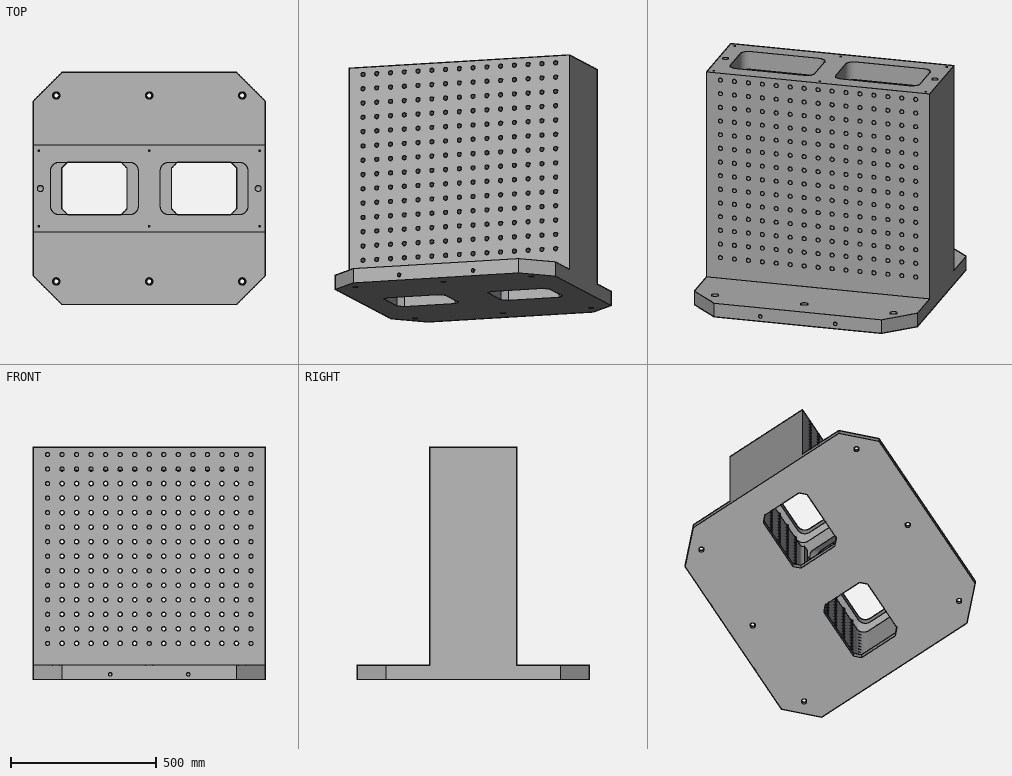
import cadquery as cq
import math

size = 800.0
hole_pitch = size / 16
plate_thickness = hole_pitch
plate_corner_chamfer = 2 * hole_pitch
tower_depth = 300.0
tower_height = size - plate_thickness

top_wall = 60.0
divider_width = 75.0
mouth_length = (size - 2 * top_wall - divider_width) / 2
mouth_width = tower_depth - 2 * top_wall
mouth_depth = 65.0
mouth_centers = [side * (divider_width + mouth_length) / 2 for side in (-1, 1)]

cavity_wall = 40.0
cavity_length = size - 2 * cavity_wall
cavity_width = tower_depth - 2 * cavity_wall
cavity_floor = plate_thickness
ceiling_spread = top_wall - cavity_wall
ceiling_drop = 16.0
cavity_top = size - mouth_depth - ceiling_drop
corner_radius = 30.0

rib_tip_width = 20.0
rib_flank_radius = rib_tip_width / 2

floor_opening_length = 224.0
floor_opening_chamfer = 20.0

drill_angle = 118.0

grid_columns = 15
grid_rows = 14
grid_hole_diameter = 14.0
grid_hole_depth = 40.0
grid_top_offset = hole_pitch / 2

lift_hole_diameter = 21.0
lift_hole_depth = 40.0
lift_hole_inset = hole_pitch / 2
pin_hole_diameter = 5.0
pin_hole_depth = 20.0
pin_hole_inset = 20.0

mount_spacing = 320.0
mount_hole_diameter = 18.0
mount_bore_diameter = 26.0
mount_bore_depth = 16.0

edge_hole_diameter = 12.0
edge_hole_depth = 24.0
edge_hole_spacing = 269.0
edge_hole_height = 18.0


def cylinders(points, z_top, diameter, depth):
    """Upright cylinders hanging down from z_top."""
    return (
        cq.Workplane("XY", origin=(0, 0, z_top))
        .pushPoints(points)
        .circle(diameter / 2)
        .extrude(-depth)
    )


def drilled_hole(diameter, depth):
    """Blind hole with a conical bottom, drilled down from the origin."""
    radius = diameter / 2
    cone_height = radius / math.tan(math.radians(drill_angle / 2))
    return (
        cq.Workplane("XZ")
        .polyline([(0, 0), (radius, 0), (radius, -depth), (0, -depth - cone_height)])
        .close()
        .revolve(360, (0, 0, 0), (0, 1, 0))
        .val()
    )


def drilled_down(points, z_top, diameter, depth):
    """Drilled holes going down from z_top at (x, y) points."""
    hole = drilled_hole(diameter, depth)
    return cq.Compound.makeCompound([hole.moved(cq.Location(cq.Vector(x, y, z_top))) for x, y in points])


def drilled_both_sides(points, face_distance, diameter, depth):
    """Drilled holes at (x, z) points, going inward from y = -face_distance and y = +face_distance."""
    hole = drilled_hole(diameter, depth)
    holes = []
    for side in (-1, 1):
        inward = hole.rotate(cq.Vector(0, 0, 0), cq.Vector(1, 0, 0), side * -90)
        for x, z in points:
            holes.append(inward.moved(cq.Location(cq.Vector(x, side * face_distance, z))))
    return cq.Compound.makeCompound(holes)


def make_body():
    plate = (
        cq.Workplane("XY")
        .rect(size, size)
        .extrude(plate_thickness)
        .edges("|Z")
        .chamfer(plate_corner_chamfer)
    )
    tower = (
        cq.Workplane("XY", origin=(0, 0, plate_thickness))
        .rect(size, tower_depth)
        .extrude(tower_height)
    )
    return plate.union(tower)


def rounded_block(length, width, z_bottom, z_top):
    return (
        cq.Workplane("XY", origin=(0, 0, z_bottom))
        .rect(length, width)
        .extrude(z_top - z_bottom)
        .edges("|Z")
        .fillet(corner_radius)
    )


def make_mouth():
    """One tower opening, flaring out below its straight part to meet the cavity."""
    straight = rounded_block(mouth_length, mouth_width, size - mouth_depth, size)
    narrow = cq.Sketch().rect(mouth_length, mouth_width).vertices().fillet(corner_radius)
    wide = (
        cq.Sketch()
        .rect(mouth_length + 2 * ceiling_spread, mouth_width + 2 * ceiling_spread)
        .vertices()
        .fillet(corner_radius)
    )
    flare = (
        cq.Workplane("XY", origin=(0, 0, cavity_top))
        .placeSketch(wide, narrow.moved(cq.Location(cq.Vector(0, 0, ceiling_drop))))
        .loft()
    )
    return straight.union(flare)


def make_rib():
    """Rib on the +Y cavity wall, blended into the wall by a concave quarter arc on each flank."""
    wall = cavity_width / 2
    tip = rib_tip_width / 2
    root = tip + rib_flank_radius
    top = wall - rib_flank_radius
    return (
        cq.Workplane("XY", origin=(0, 0, cavity_floor))
        .moveTo(-root, wall)
        .radiusArc((-tip, top), rib_flank_radius)
        .lineTo(tip, top)
        .radiusArc((root, wall), rib_flank_radius)
        .close()
        .extrude(cavity_top - cavity_floor)
    )


def make_cavity():
    cavity = rounded_block(cavity_length, cavity_width, cavity_floor, cavity_top)
    rib = make_rib()
    cavity = cavity.cut(rib).cut(rib.mirror("XZ"))
    floor_opening = (
        cq.Workplane("XY")
        .rect(floor_opening_length, mouth_width)
        .extrude(plate_thickness)
        .edges("|Z")
        .chamfer(floor_opening_chamfer)
    )
    mouth = make_mouth()
    for x in mouth_centers:
        cavity = cavity.union(mouth.translate((x, 0, 0)))
        cavity = cavity.union(floor_opening.translate((x, 0, 0)))
    return cavity


def make_grid_holes():
    points = [
        ((column - (grid_columns - 1) / 2) * hole_pitch, size - grid_top_offset - row * hole_pitch)
        for column in range(grid_columns)
        for row in range(grid_rows)
    ]
    return drilled_both_sides(points, tower_depth / 2, grid_hole_diameter, grid_hole_depth)


def make_lift_holes():
    x = size / 2 - lift_hole_inset
    return drilled_down([(-x, 0), (x, 0)], size, lift_hole_diameter, lift_hole_depth)


def make_pin_holes():
    pin_x = size / 2 - pin_hole_inset
    pin_y = tower_depth / 2 - pin_hole_inset
    points = [(x, y) for x in (-pin_x, 0, pin_x) for y in (-pin_y, pin_y)]
    return drilled_down(points, size, pin_hole_diameter, pin_hole_depth)


def make_mount_holes():
    points = [
        (x, y)
        for x in (-mount_spacing, 0, mount_spacing)
        for y in (-mount_spacing, mount_spacing)
    ]
    through = cylinders(points, plate_thickness, mount_hole_diameter, plate_thickness)
    return through.union(cylinders(points, plate_thickness, mount_bore_diameter, mount_bore_depth))


def make_edge_holes():
    points = [(side * edge_hole_spacing / 2, edge_hole_height) for side in (-1, 1)]
    return drilled_both_sides(points, size / 2, edge_hole_diameter, edge_hole_depth)


result = (
    make_body()
    .cut(make_cavity())
    .cut(make_grid_holes())
    .cut(make_lift_holes())
    .cut(make_pin_holes())
    .cut(make_mount_holes())
    .cut(make_edge_holes())
)